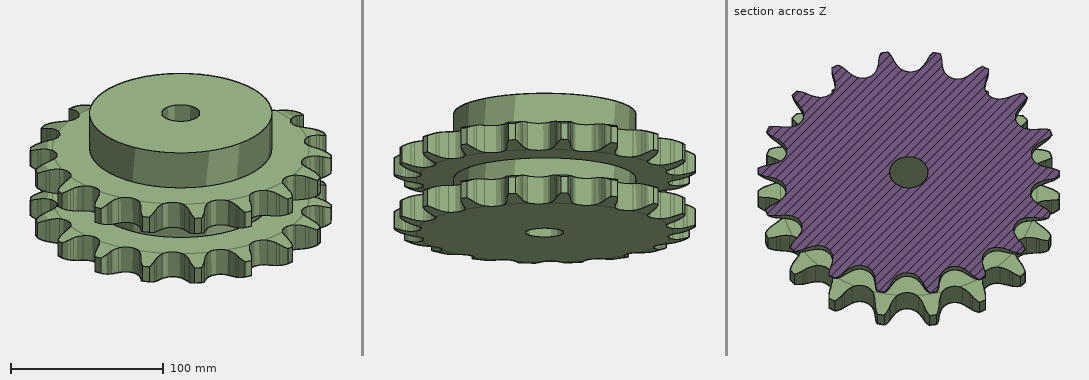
import cadquery as cq
import math

tooth_count = 18
pitch_radius = 91.5
roller_diameter = 19.0
tip_radius = 99.0
disc_width = 18.2
disc_spacing = 36.2
face_radius = 84.3
hub_diameter = 120.0
bore_diameter = 25.0
total_height = 80.0

half_tooth_angle = math.pi / tooth_count
chain_pitch = 2 * pitch_radius * math.sin(half_tooth_angle)

seat_radius = 1.005 * roller_diameter / 2
seat_slope = math.radians(55 - 60 / tooth_count)
work_slope = seat_slope + math.radians(18 - 56 / tooth_count)
work_center_offset = 0.8 * roller_diameter
topping_center_offset = 1.4 * roller_diameter
topping_angle = math.radians(17 - 64 / tooth_count)
work_angle = work_slope - seat_slope
work_radius = seat_radius + work_center_offset
straight_length = (topping_center_offset * math.sin(topping_angle)
                   - work_center_offset * math.sin(work_angle))
topping_radius = (topping_center_offset * math.cos(topping_angle)
                  + work_center_offset * math.cos(work_angle) - work_radius)

cutter_overrun = 9.9


def arc_point(center, radius, slope):
    """Point of a gap-side concave arc at which the flank has the given slope."""
    return (center[0] + radius * math.sin(slope), center[1] - radius * math.cos(slope))


def mirrored(point):
    return (-point[0], point[1])


def tooth_gap():
    """Cutter for one gap between teeth, centred on the +Y axis."""
    seat_center = (0, pitch_radius)
    work_center = arc_point(seat_center, -work_center_offset, seat_slope)
    root = arc_point(seat_center, seat_radius, 0)
    seat_end = arc_point(seat_center, seat_radius, seat_slope)
    work_middle = arc_point(work_center, work_radius, (seat_slope + work_slope) / 2)
    work_end = arc_point(work_center, work_radius, work_slope)
    straight_end = (
        work_end[0] + straight_length * math.cos(work_slope),
        work_end[1] + straight_length * math.sin(work_slope),
    )

    topping_center = arc_point(straight_end, topping_radius, work_slope)
    center_distance = math.hypot(*topping_center)
    center_bearing = math.atan2(topping_center[1], topping_center[0])
    tip_offset = math.acos(
        (tip_radius**2 + center_distance**2 - topping_radius**2) / (2 * tip_radius * center_distance)
    )
    tip_bearing = center_bearing + tip_offset
    tip = (tip_radius * math.cos(tip_bearing), tip_radius * math.sin(tip_bearing))
    tip_slope = math.atan2(topping_center[0] - tip[0], tip[1] - topping_center[1])
    topping_middle = arc_point(topping_center, -topping_radius, (work_slope + tip_slope) / 2)
    gap_corner = (tip[0], tip_radius + cutter_overrun)

    return (
        cq.Workplane("XY")
        .moveTo(*mirrored(seat_end))
        .threePointArc(root, seat_end)
        .threePointArc(work_middle, work_end)
        .lineTo(*straight_end)
        .threePointArc(topping_middle, tip)
        .lineTo(*gap_corner)
        .lineTo(*mirrored(gap_corner))
        .lineTo(*mirrored(tip))
        .threePointArc(mirrored(topping_middle), mirrored(straight_end))
        .lineTo(*mirrored(work_end))
        .threePointArc(mirrored(work_middle), mirrored(seat_end))
        .close()
        .extrude(disc_width)
    )


def disc_blank():
    """Round disc whose faces curve in towards the rim with a radius of one chain pitch."""

    def relief_depth(radius):
        return chain_pitch - math.sqrt(chain_pitch**2 - (radius - face_radius) ** 2)

    middle_radius = (face_radius + tip_radius) / 2
    rim_depth = relief_depth(tip_radius)
    middle_depth = relief_depth(middle_radius)
    return (
        cq.Workplane("XZ")
        .lineTo(face_radius, 0)
        .threePointArc((middle_radius, middle_depth), (tip_radius, rim_depth))
        .lineTo(tip_radius, disc_width - rim_depth)
        .threePointArc((middle_radius, disc_width - middle_depth), (face_radius, disc_width))
        .lineTo(0, disc_width)
        .close()
        .revolve(360, (0, 0, 0), (0, 1, 0))
    )


def toothed_disc():
    disc = disc_blank()
    gap = tooth_gap()
    for index in range(tooth_count):
        disc = disc.cut(gap.rotate((0, 0, 0), (0, 0, 1), index * 360 / tooth_count))
    return disc


disc = toothed_disc()
hub = cq.Workplane("XY").circle(hub_diameter / 2).extrude(total_height)
bore = cq.Workplane("XY").circle(bore_diameter / 2).extrude(total_height)

result = hub.union(disc).union(disc.translate((0, 0, disc_spacing))).cut(bore)